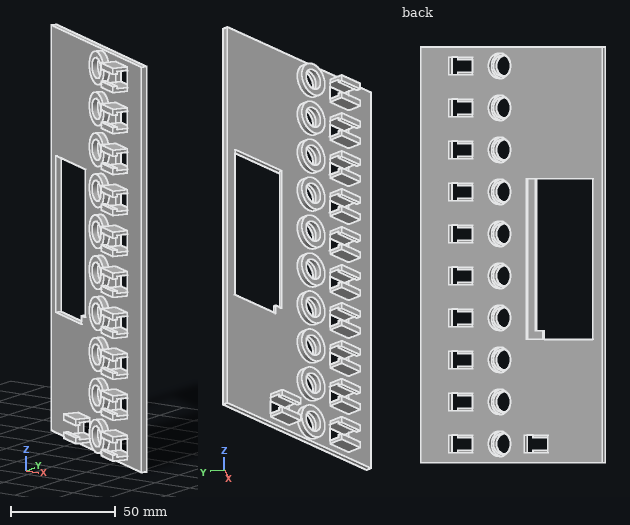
import cadquery as cq

PANEL_TURN = -30

PANEL_LENGTH = 100.0
PANEL_HEIGHT = 198.2
PANEL_THICKNESS = 3.0

ROW_COUNT = 10
ROW_PITCH = 20.0
FIRST_ROW_Z = (PANEL_HEIGHT - (ROW_COUNT - 1) * ROW_PITCH) / 2
ROW_HEIGHTS = [FIRST_ROW_Z + row * ROW_PITCH for row in range(ROW_COUNT)]

COLLAR_X = 56.7
COLLAR_DIAMETER = 16.0
COLLAR_DEPTH = 3.0
FRONT_BORE_DIAMETER = 10
BACK_BORE_DIAMETER = 12.0

SOCKET_X = 71.5
LONE_SOCKET_OFFSET = 41.5
LONE_SOCKET_X = SOCKET_X - LONE_SOCKET_OFFSET
SOCKET_LENGTH = 12.9
SOCKET_HEIGHT = 11.9
SOCKET_DEPTH = 7.5
SLOT_HEIGHT = 8.3
LIP_GAP = 6
LIP_DEPTH = 2.2

WINDOW_X = 5.4
WINDOW_Z = 58.9
WINDOW_LENGTH = 32.5
WINDOW_HEIGHT = 76.5
WINDOW_CORNER = 4.2
RIM_THICKNESS = PANEL_THICKNESS / 2
RIM_WIDTH = 4.2


def block(x_start, length, y_front, y_back, z_centre, height):
    """Box from its left end, front and back planes and middle height."""
    return cq.Workplane("XY").box(
        length, y_back - y_front, height, centered=(False, False, True)
    ).translate((x_start, y_front, z_centre))


def disc(diameter, y_front, y_back, z_centre):
    """Cylinder on a collar axis, between two planes parallel to the panel."""
    return (
        cq.Workplane("XZ", origin=(COLLAR_X, y_back, z_centre))
        .circle(diameter / 2)
        .extrude(y_back - y_front)
    )


def add_collar(body, z_centre):
    collar = disc(COLLAR_DIAMETER, -COLLAR_DEPTH, 0, z_centre)
    front_bore = disc(FRONT_BORE_DIAMETER, -COLLAR_DEPTH, 0, z_centre)
    back_bore = disc(BACK_BORE_DIAMETER, 0, PANEL_THICKNESS, z_centre)
    return body.union(collar).cut(front_bore).cut(back_bore)


def add_socket(body, x_start, z_centre):
    lip_back = LIP_DEPTH - SOCKET_DEPTH
    outer = block(x_start, SOCKET_LENGTH, -SOCKET_DEPTH, 0, z_centre, SOCKET_HEIGHT)
    gap = block(x_start, SOCKET_LENGTH, -SOCKET_DEPTH, lip_back, z_centre, LIP_GAP)
    slot = block(x_start, SOCKET_LENGTH, lip_back, PANEL_THICKNESS, z_centre, SLOT_HEIGHT)
    return body.union(outer).cut(gap).cut(slot)


def add_window(body):
    window_middle_z = WINDOW_Z + WINDOW_HEIGHT / 2
    corner_x = WINDOW_X + WINDOW_LENGTH - WINDOW_CORNER
    corner_middle_z = WINDOW_Z + WINDOW_CORNER / 2
    opening = block(WINDOW_X, WINDOW_LENGTH, 0, PANEL_THICKNESS, window_middle_z, WINDOW_HEIGHT)
    filled_corner = block(corner_x, WINDOW_CORNER, 0, PANEL_THICKNESS, corner_middle_z, WINDOW_CORNER)
    back_pocket = block(
        corner_x, WINDOW_CORNER + RIM_WIDTH, RIM_THICKNESS, PANEL_THICKNESS, window_middle_z, WINDOW_HEIGHT
    )
    return body.cut(opening.cut(filled_corner)).cut(back_pocket)


panel = block(0, PANEL_LENGTH, 0, PANEL_THICKNESS, PANEL_HEIGHT / 2, PANEL_HEIGHT)
panel = add_window(panel)
for row_z in ROW_HEIGHTS:
    panel = add_collar(panel, row_z)
    panel = add_socket(panel, SOCKET_X, row_z)
panel = add_socket(panel, LONE_SOCKET_X, FIRST_ROW_Z)

result = panel.rotate((0, 0, 0), (0, 0, 1), PANEL_TURN)